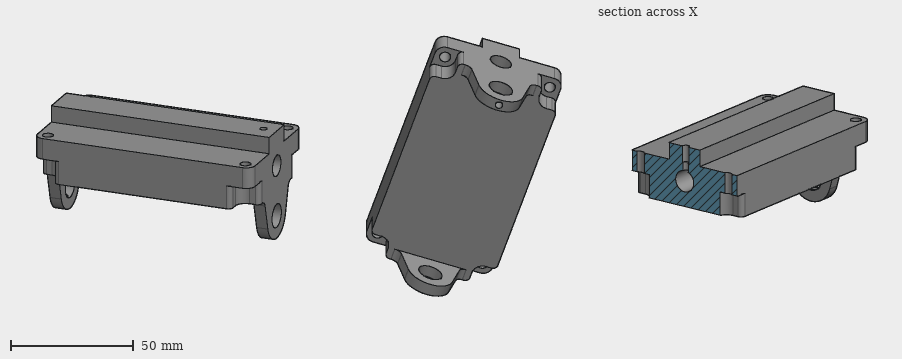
import math

import cadquery as cq

LENGTH = 96.1
WIDTH = 54.0
BODY_HEIGHT = 19.0
FLANGE_THICKNESS = 9.0
CORNER_RADIUS = 4.0

RIB_WIDTH = 16.0
RIB_HEIGHT = 7.1

MOUNT_HOLE_DIAMETER = 4.5
MOUNT_HOLE_INSET = 4.5
NOTCH_SIZE = 9.0
NOTCH_EDGE_RADIUS = 2.0

TOTAL_HEIGHT = 46.71
LUG_THICKNESS = 5.0
LUG_TIP_RADIUS = 9.8
LUG_ROOT_RADIUS = 3.0
LUG_FLANK_ANGLE = 15.0

SHAFT_BORE_DIAMETER = 9.0
SHAFT_BORE_BELOW_TOP = 15.1
LUG_BORE_DIAMETER = 10.0

SCREW_HOLE_DIAMETER = 3.0
SCREW_PILOT_DIAMETER = 2.5
RIB_SCREW_INSET = 6.0
SCREW_OFFSET_Y = 0.5

TOP_Z = BODY_HEIGHT + RIB_HEIGHT
SHAFT_BORE_Z = TOP_Z - SHAFT_BORE_BELOW_TOP
LUG_TIP_Z = TOP_Z - TOTAL_HEIGHT
LUG_BORE_Z = LUG_TIP_Z + LUG_TIP_RADIUS
NOTCH_HEIGHT = BODY_HEIGHT - FLANGE_THICKNESS
END_SIGNS = (-1, 1)


def make_body():
    """Rectangular block with rounded vertical corners and the rib along its top."""
    block = (
        cq.Workplane("XY")
        .box(LENGTH, WIDTH, BODY_HEIGHT, centered=(True, True, False))
        .edges("|Z")
        .fillet(CORNER_RADIUS)
    )
    rib = (
        cq.Workplane("XY")
        .workplane(offset=BODY_HEIGHT)
        .box(LENGTH, RIB_WIDTH, RIB_HEIGHT, centered=(True, True, False))
    )
    return block.union(rib)


def make_corner_notch(sign_x, sign_y):
    """Clearance under one corner: rounded inside around the hole, flared at both open ends."""
    edge = NOTCH_EDGE_RADIUS
    inner = NOTCH_SIZE - MOUNT_HOLE_INSET
    bend = inner * math.sqrt(0.5)
    flare = edge * (1 - math.sqrt(0.5))

    def corner_point(inset_x, inset_y):
        return (sign_x * (LENGTH / 2 - inset_x), sign_y * (WIDTH / 2 - inset_y))

    return (
        cq.Workplane("XY")
        .moveTo(*corner_point(0, 0))
        .lineTo(*corner_point(0, NOTCH_SIZE + edge))
        .threePointArc(corner_point(flare, NOTCH_SIZE + flare), corner_point(edge, NOTCH_SIZE))
        .lineTo(*corner_point(MOUNT_HOLE_INSET, NOTCH_SIZE))
        .threePointArc(
            corner_point(MOUNT_HOLE_INSET + bend, MOUNT_HOLE_INSET + bend),
            corner_point(NOTCH_SIZE, MOUNT_HOLE_INSET),
        )
        .lineTo(*corner_point(NOTCH_SIZE, edge))
        .threePointArc(corner_point(NOTCH_SIZE + flare, flare), corner_point(NOTCH_SIZE + edge, 0))
        .close()
        .extrude(NOTCH_HEIGHT)
    )


def make_lug(start_x):
    """Tapered lug: round tip, straight flanks tangent to it, concave blends into the block."""
    angle = math.radians(LUG_FLANK_ANGLE)
    half_angle = (math.pi / 2 + angle) / 2
    cos_a = math.cos(angle)
    sin_a = math.sin(angle)

    tip_y = LUG_TIP_RADIUS * cos_a
    tip_z = LUG_BORE_Z - LUG_TIP_RADIUS * sin_a
    flank_z = -LUG_ROOT_RADIUS * (1 - sin_a)
    flank_y = tip_y + (flank_z - tip_z) * math.tan(angle)
    root_y = flank_y + LUG_ROOT_RADIUS * cos_a
    blend_y = root_y - LUG_ROOT_RADIUS * math.cos(half_angle)
    blend_z = -LUG_ROOT_RADIUS * (1 - math.sin(half_angle))

    return (
        cq.Workplane("YZ")
        .workplane(offset=start_x)
        .moveTo(-root_y, 0)
        .threePointArc((-blend_y, blend_z), (-flank_y, flank_z))
        .lineTo(-tip_y, tip_z)
        .threePointArc((0, LUG_TIP_Z), (tip_y, tip_z))
        .lineTo(flank_y, flank_z)
        .threePointArc((blend_y, blend_z), (root_y, 0))
        .close()
        .extrude(LUG_THICKNESS)
    )


def make_bore(diameter, center_z):
    """Cylinder along X through the whole length."""
    return (
        cq.Workplane("YZ")
        .workplane(offset=-LENGTH / 2)
        .center(0, center_z)
        .circle(diameter / 2)
        .extrude(LENGTH)
    )


def make_screw_hole(x, y, diameter, low_z, high_z):
    """Vertical cylinder for a set screw hole between two heights."""
    return (
        cq.Workplane("XY")
        .workplane(offset=low_z)
        .center(x, y)
        .circle(diameter / 2)
        .extrude(high_z - low_z)
    )


part = make_body()

for sign_x in END_SIGNS:
    for sign_y in END_SIGNS:
        part = part.cut(make_corner_notch(sign_x, sign_y))

mount_holes = (
    cq.Workplane("XY")
    .rect(LENGTH - 2 * MOUNT_HOLE_INSET, WIDTH - 2 * MOUNT_HOLE_INSET, forConstruction=True)
    .vertices()
    .circle(MOUNT_HOLE_DIAMETER / 2)
    .extrude(BODY_HEIGHT)
)
part = part.cut(mount_holes)

for start_x in (-LENGTH / 2, LENGTH / 2 - LUG_THICKNESS):
    part = part.union(make_lug(start_x))

part = part.cut(make_bore(SHAFT_BORE_DIAMETER, SHAFT_BORE_Z))
part = part.cut(make_bore(LUG_BORE_DIAMETER, LUG_BORE_Z))

rib_screw_x = LENGTH / 2 - RIB_SCREW_INSET
part = part.cut(make_screw_hole(rib_screw_x, SCREW_OFFSET_Y, SCREW_HOLE_DIAMETER, BODY_HEIGHT, TOP_Z))
part = part.cut(make_screw_hole(rib_screw_x, SCREW_OFFSET_Y, SCREW_PILOT_DIAMETER, SHAFT_BORE_Z, TOP_Z))

lug_screw_x = -LENGTH / 2 + LUG_THICKNESS / 2
part = part.cut(make_screw_hole(lug_screw_x, 0, SCREW_HOLE_DIAMETER, LUG_TIP_Z, LUG_BORE_Z))

result = part